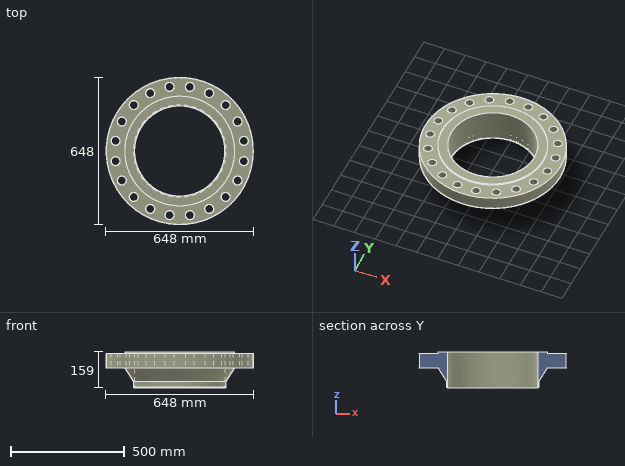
import cadquery as cq

flange_diameter = 648.0
total_height = 159.0
flange_thickness = 64.0

face_diameter = 483.0
face_height = 6.5

neck_base_diameter = 482.5
neck_end_diameter = 408.0
neck_end_height = 29.0
bevel_width = 4.0
bevel_height = 4.0

bore_diameter = 396.5
bolt_circle_diameter = 571.0
bolt_hole_diameter = 38.0
bolt_count = 20

face_base_z = total_height - face_height
flange_base_z = face_base_z - flange_thickness


def make_body():
    """Revolve the half section of the flange, with its bore, about Z."""
    bore_radius = bore_diameter / 2
    neck_end_radius = neck_end_diameter / 2
    section = [
        (bore_radius, 0),
        (neck_end_radius - bevel_width, 0),
        (neck_end_radius, bevel_height),
        (neck_end_radius, neck_end_height),
        (neck_base_diameter / 2, flange_base_z),
        (flange_diameter / 2, flange_base_z),
        (flange_diameter / 2, face_base_z),
        (face_diameter / 2, face_base_z),
        (face_diameter / 2, total_height),
        (bore_radius, total_height),
    ]
    return cq.Workplane("XZ").polyline(section).close().revolve(360, (0, 0, 0), (0, 1, 0))


def make_bolt_holes():
    """Through holes on the bolt circle, straddling the X and Y axes."""
    half_pitch_angle = 180 / bolt_count
    return (
        cq.Workplane("XY")
        .workplane(offset=flange_base_z)
        .polarArray(bolt_circle_diameter / 2, half_pitch_angle, 360, bolt_count)
        .circle(bolt_hole_diameter / 2)
        .extrude(flange_thickness)
    )


result = make_body().cut(make_bolt_holes())